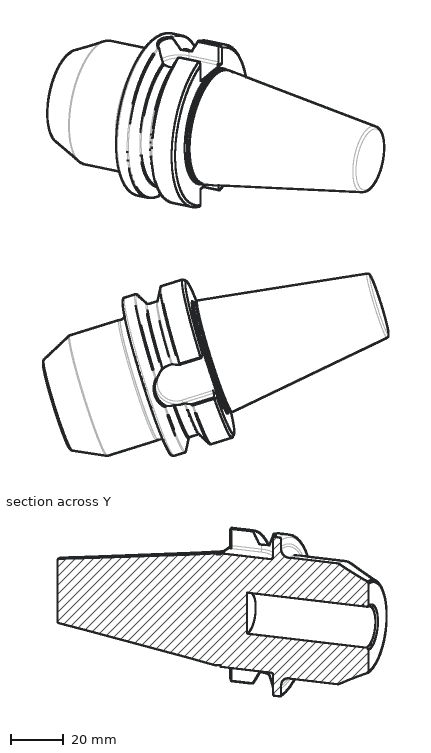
import cadquery as cq
import math


GAUGE_X = 63.0
GAUGE_RADIUS = 44.45 / 2
TAPER_LENGTH = 65.4
TAPER_ON_RADIUS = 7 / 24 / 2
SHANK_END_X = GAUGE_X + TAPER_LENGTH
SHANK_END_RADIUS = GAUGE_RADIUS - TAPER_LENGTH * TAPER_ON_RADIUS
SHANK_END_ROUND = 1.0

FLANGE_RADIUS = 63.0 / 2
FLANGE_FRONT_X = GAUGE_X - 27.0
FLANGE_REAR_X = GAUGE_X - 2.0
FLANGE_FRONT_ROUND = 1.0
FLANGE_REAR_CHAMFER = 1.0

GROOVE_MIDDLE_X = GAUGE_X - 16.6
GROOVE_WIDTH = 10.0
GROOVE_DEPTH = 5.0
GROOVE_WALL_ANGLE = 30.0
GROOVE_EDGE_ROUND = 0.5

SLOT_WIDTH = 16.1
SLOT_FLOOR_HEIGHT = 22.5
SLOT_FRONT_X = 39.5
SLOT_FLOOR_FILLET = 0.9
SLOT_EDGE_CHAMFER = 0.5

NECK_RADIUS = 43.79 / 2
NECK_FILLET = SLOT_FLOOR_HEIGHT - NECK_RADIUS
NECK_RAMP_LENGTH = 0.5

NOSE_RADIUS = 48.0 / 2
NOSE_CONE_LENGTH = 12.6
NOSE_CONE_SLOPE = math.tan(math.radians(26.0))
NOSE_SHOULDER_ROUND = 1.0
NOSE_TIP_CHAMFER = 0.5

UNDERCUT_RADIUS = 47.8 / 2
UNDERCUT_START_X = 32.3
UNDERCUT_RAMP_LENGTH = 0.6
UNDERCUT_FILLET = 3.0
UNDERCUT_FACE_DEPTH = 0.1
UNDERCUT_FACE_X = FLANGE_FRONT_X + UNDERCUT_FACE_DEPTH
UNDERCUT_OUTER_RADIUS = 28.0

BORE_RADIUS = 16.0 / 2
BORE_DEPTH = 50.0
BORE_CHAMFER = 0.75

CLEARANCE = 1.0


def turned(corners):
    """Revolve a closed half profile about X; each corner is (x, radius, corner rounding)."""
    points = [cq.Vector(x, radius) for x, radius, _ in corners]
    profile = cq.Workplane("XY").moveTo(points[0].x, points[0].y)
    for i in range(1, len(corners)):
        corner = points[i]
        rounding = corners[i][2]
        if rounding == 0:
            profile = profile.lineTo(corner.x, corner.y)
            continue
        to_last = (points[i - 1] - corner).normalized()
        to_next = (points[(i + 1) % len(points)] - corner).normalized()
        half_angle = to_last.getAngle(to_next) / 2
        tangent_length = rounding / math.tan(half_angle)
        start = corner + to_last * tangent_length
        end = corner + to_next * tangent_length
        middle_distance = rounding / math.sin(half_angle) - rounding
        middle = corner + (to_last + to_next).normalized() * middle_distance
        profile = profile.lineTo(start.x, start.y)
        profile = profile.threePointArc((middle.x, middle.y), (end.x, end.y))
    return profile.close().revolve(360, (0, 0, 0), (1, 0, 0))


def holder_body():
    """Nose, flange without its groove, neck and taper shank."""
    nose_face_radius = NOSE_RADIUS - NOSE_CONE_LENGTH * NOSE_CONE_SLOPE - NOSE_TIP_CHAMFER
    nose_cone_start_radius = NOSE_RADIUS - (NOSE_CONE_LENGTH - NOSE_TIP_CHAMFER) * NOSE_CONE_SLOPE
    return turned([
        (0, 0, 0),
        (0, nose_face_radius, 0),
        (NOSE_TIP_CHAMFER, nose_cone_start_radius, 0),
        (NOSE_CONE_LENGTH, NOSE_RADIUS, NOSE_SHOULDER_ROUND),
        (UNDERCUT_START_X, NOSE_RADIUS, 0),
        (UNDERCUT_START_X + UNDERCUT_RAMP_LENGTH, UNDERCUT_RADIUS, 0),
        (UNDERCUT_FACE_X, UNDERCUT_RADIUS, UNDERCUT_FILLET),
        (FLANGE_FRONT_X, UNDERCUT_OUTER_RADIUS, 0),
        (FLANGE_FRONT_X, FLANGE_RADIUS, FLANGE_FRONT_ROUND),
        (FLANGE_REAR_X - FLANGE_REAR_CHAMFER, FLANGE_RADIUS, 0),
        (FLANGE_REAR_X, FLANGE_RADIUS - FLANGE_REAR_CHAMFER, 0),
        (FLANGE_REAR_X, NECK_RADIUS, NECK_FILLET),
        (GAUGE_X - NECK_RAMP_LENGTH, NECK_RADIUS, 0),
        (GAUGE_X, GAUGE_RADIUS, 0),
        (SHANK_END_X, SHANK_END_RADIUS, SHANK_END_ROUND),
        (SHANK_END_X, 0, 0),
    ])


def bore():
    """Blind clamping bore with a chamfered mouth."""
    return turned([
        (0, 0, 0),
        (0, BORE_RADIUS + BORE_CHAMFER, 0),
        (BORE_CHAMFER, BORE_RADIUS, 0),
        (BORE_DEPTH, BORE_RADIUS, 0),
        (BORE_DEPTH, 0, 0),
    ])


def gripper_groove():
    """Ring cutter for the V groove, with rounded floor corners and rounded mouth edges."""
    wall_run = GROOVE_DEPTH * math.tan(math.radians(GROOVE_WALL_ANGLE))
    floor_radius = FLANGE_RADIUS - GROOVE_DEPTH
    clear_radius = FLANGE_RADIUS + CLEARANCE
    front_x = GROOVE_MIDDLE_X - GROOVE_WIDTH / 2
    rear_x = GROOVE_MIDDLE_X + GROOVE_WIDTH / 2
    return turned([
        (front_x - CLEARANCE, clear_radius, 0),
        (front_x - CLEARANCE, FLANGE_RADIUS, 0),
        (front_x, FLANGE_RADIUS, GROOVE_EDGE_ROUND),
        (front_x + wall_run, floor_radius, GROOVE_EDGE_ROUND),
        (rear_x - wall_run, floor_radius, GROOVE_EDGE_ROUND),
        (rear_x, FLANGE_RADIUS, GROOVE_EDGE_ROUND),
        (rear_x + CLEARANCE, FLANGE_RADIUS, 0),
        (rear_x + CLEARANCE, clear_radius, 0),
    ])


def upper_drive_slot():
    """Cutter for the +Z drive slot: round front end, open rear, filleted floor."""
    half_width = SLOT_WIDTH / 2
    straight_start_x = SLOT_FRONT_X + half_width
    cutter = (
        cq.Workplane("XY", origin=(0, 0, SLOT_FLOOR_HEIGHT))
        .moveTo(GAUGE_X, half_width)
        .lineTo(straight_start_x, half_width)
        .threePointArc((SLOT_FRONT_X, 0), (straight_start_x, -half_width))
        .lineTo(GAUGE_X, -half_width)
        .close()
        .extrude(FLANGE_RADIUS + CLEARANCE - SLOT_FLOOR_HEIGHT)
    )
    return cutter.faces("<Z").edges("not(>X)").fillet(SLOT_FLOOR_FILLET)


def upper_slot_flare():
    """Cutter that carries the flange's rear chamfer along both walls of the +Z drive slot."""
    front_half_width = SLOT_WIDTH / 2
    flare_length = FLANGE_REAR_CHAMFER + CLEARANCE
    rear_half_width = front_half_width + flare_length
    flare_front_x = FLANGE_REAR_X - FLANGE_REAR_CHAMFER
    flare_rear_x = flare_front_x + flare_length
    return (
        cq.Workplane("XY", origin=(0, 0, SLOT_FLOOR_HEIGHT))
        .moveTo(flare_front_x, front_half_width)
        .lineTo(flare_rear_x, rear_half_width)
        .lineTo(flare_rear_x, -rear_half_width)
        .lineTo(flare_front_x, -front_half_width)
        .close()
        .extrude(FLANGE_RADIUS + CLEARANCE - SLOT_FLOOR_HEIGHT)
    )


def chamfer_slot_mouth(body, side):
    """Chamfer the slot edges lying on the flange's outer cylinder; side is +1 (+Z) or -1 (-Z)."""
    tolerance = 0.01
    half_width = SLOT_WIDTH / 2
    lowest_edge = math.sqrt(FLANGE_RADIUS**2 - half_width**2)
    mouth = cq.selectors.BoxSelector(
        (SLOT_FRONT_X - tolerance, -half_width - tolerance, side * (lowest_edge - tolerance)),
        (FLANGE_REAR_X, half_width + tolerance, side * (FLANGE_RADIUS + tolerance)),
        boundingbox=True,
    )
    return body.edges(mouth).chamfer(SLOT_EDGE_CHAMFER)


def cut_above_and_below(body, upper_cutter):
    """Cut with a +Z cutter and with its mirror image at -Z."""
    return body.cut(upper_cutter).cut(upper_cutter.mirror("XY"))


body = holder_body().cut(bore())
body = cut_above_and_below(body, upper_drive_slot())
for side in (1, -1):
    body = chamfer_slot_mouth(body, side)
body = cut_above_and_below(body, upper_slot_flare())
result = body.cut(gripper_groove())